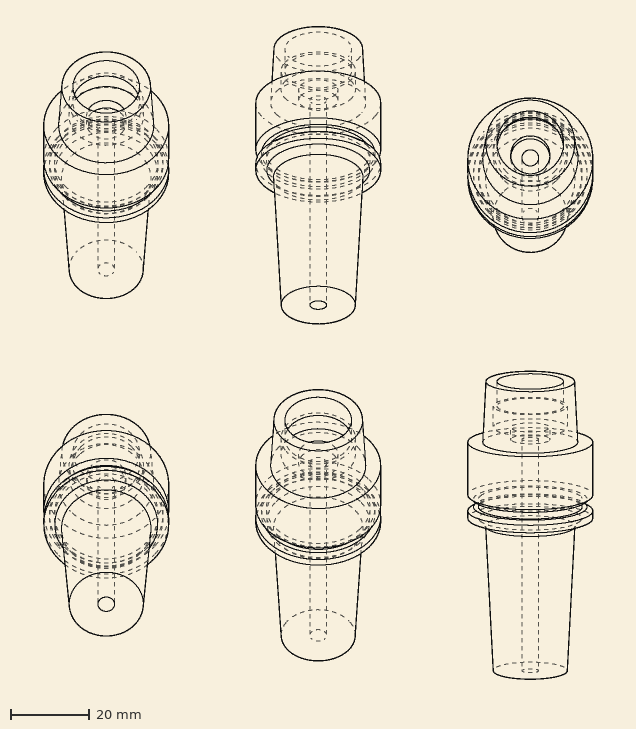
import cadquery as cq


total_height = 76.0
taper_length = 15.95
flange_length = 20.0
neck_cone_length = 2.05
flange_top = total_height - taper_length
flange_bottom = flange_top - flange_length
nose_top = flange_bottom - neck_cone_length

flange_diameter = 32.0
groove_diameter = 26.5
groove_mouth_diameter = 29.0
taper_top_diameter = 22.7
taper_base_diameter = 24.3
nose_top_diameter = 22.9
neck_cone_diameter = 26.3
nose_end_diameter = 19.0

groove_width = 2.05
upper_bevel_height = 1.1
lower_bevel_height = 1.0
lip_thickness = 2.0
lip_top = flange_bottom + lip_thickness
groove_floor_bottom = lip_top + lower_bevel_height
groove_floor_top = groove_floor_bottom + groove_width
body_bottom = groove_floor_top + upper_bevel_height

socket_diameter = 17.0
socket_depth = 12.1
undercut_diameter = 19.0
undercut_start_depth = 6.45
counterbore_diameter = 10.0
counterbore_depth = 15.2
through_diameter = 4.25


def revolved(points):
    """Solid of revolution about Z from a closed (radius, height) outline."""
    return cq.Workplane("XZ").polyline(points).close().revolve(360, (0, 0), (0, 1))


def outer_body():
    """Revolve the outside profile, given as (diameter, height) from the bottom up."""
    outline = [
        (0, 0),
        (nose_end_diameter, 0),
        (nose_top_diameter, nose_top),
        (neck_cone_diameter, flange_bottom),
        (flange_diameter, flange_bottom),
        (flange_diameter, lip_top),
        (groove_mouth_diameter, groove_floor_bottom),
        (groove_diameter, groove_floor_bottom),
        (groove_diameter, groove_floor_top),
        (groove_mouth_diameter, groove_floor_top),
        (flange_diameter, body_bottom),
        (flange_diameter, flange_top),
        (taper_base_diameter, flange_top),
        (taper_top_diameter, total_height),
        (0, total_height),
    ]
    points = [(diameter / 2, height) for diameter, height in outline]
    return revolved(points)


def socket():
    """Clamping socket: a straight mouth that widens below a flat shoulder."""
    mouth_radius = socket_diameter / 2
    undercut_radius = undercut_diameter / 2
    mouth_bottom = total_height - undercut_start_depth
    floor = total_height - socket_depth
    points = [
        (0, floor),
        (undercut_radius, floor),
        (undercut_radius, mouth_bottom),
        (mouth_radius, mouth_bottom),
        (mouth_radius, total_height),
        (0, total_height),
    ]
    return revolved(points)


def bore(diameter, depth):
    """Cylinder running down from the taper face."""
    return cq.Workplane("XY").workplane(offset=total_height).circle(diameter / 2).extrude(-depth)


result = (
    outer_body()
    .cut(socket())
    .cut(bore(counterbore_diameter, counterbore_depth))
    .cut(bore(through_diameter, total_height))
)